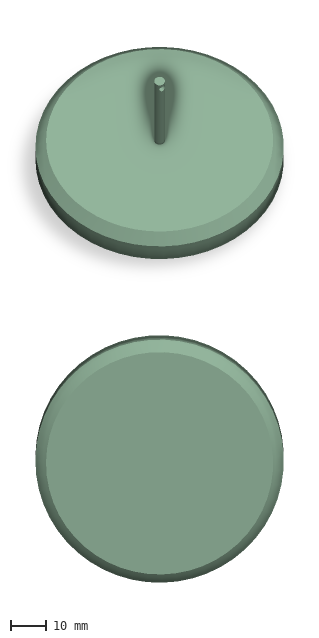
import cadquery as cq

disc_diameter = 70.0
disc_thickness = 12.0
disc_chamfer = 3.0

pin_diameter = 3.0
overall_height = 40.0
pin_length = overall_height - disc_thickness

cross_hole_diameter = 2.0
cross_hole_below_top = 2.0
cross_hole_z = overall_height - cross_hole_below_top


def make_disc():
    """Round disc with both rims chamfered, its bottom face on Z = 0."""
    blank = cq.Workplane("XY").circle(disc_diameter / 2).extrude(disc_thickness)
    return blank.faces("<Z or >Z").edges().chamfer(disc_chamfer)


def make_pin():
    """Upright pin on the top face of the disc, cross-drilled along X."""
    shaft = (
        cq.Workplane("XY")
        .workplane(offset=disc_thickness)
        .circle(pin_diameter / 2)
        .extrude(pin_length)
    )
    cross_hole = (
        cq.Workplane("YZ")
        .center(0, cross_hole_z)
        .circle(cross_hole_diameter / 2)
        .extrude(pin_diameter, both=True)
    )
    return shaft.cut(cross_hole)


disc = make_disc()
pin = make_pin()

result = cq.Compound.makeCompound([disc.solids().val(), pin.solids().val()])